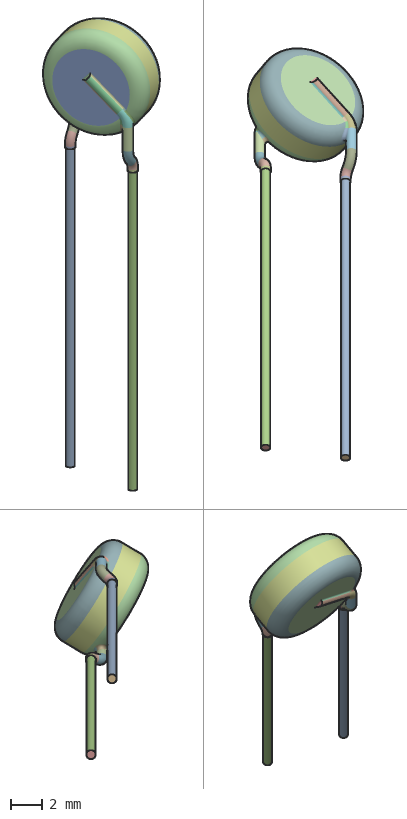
import cadquery as cq
import math

BODY_DIAMETER = 7.4
BODY_THICKNESS = 3.4
BODY_EDGE_RADIUS = 1.0
FLAT_FACE_RADIUS = BODY_DIAMETER / 2 - BODY_EDGE_RADIUS

COATED_DIAMETER = 0.7
BARE_DIAMETER = 0.6
COATING_END_RADIUS = 0.04
OVERALL_DEPTH = 3.8
OVERALL_HEIGHT = 32.4
LEAD_X = 2.5
COATED_Y = (OVERALL_DEPTH - COATED_DIAMETER) / 2
BARE_Y = 0.75

S_BEND_TOP = -4.0
COATING_END = -5.9
LEAD_END = BODY_DIAMETER / 2 - OVERALL_HEIGHT

OUTWARD_BEND_RADIUS = 1.35
INWARD_BEND_RADIUS = 0.85

TIP_X = -0.20
TIP_Z = 0.65
SLANT_ANGLE = math.radians(41)
SLANT_BEND_RADIUS = 1.35
JUNCTION_RADIUS = 0.18


def make_body():
    """Round disc with both rims rounded."""
    back_face = cq.Workplane("XZ", origin=(0, BODY_THICKNESS / 2, 0))
    disc = back_face.circle(BODY_DIAMETER / 2).extrude(BODY_THICKNESS)
    return disc.edges().fillet(BODY_EDGE_RADIUS)


def make_coated_lead():
    """Slanted run on the front face, vertical leg, then an S-bend back toward the mid-plane."""
    turn = math.pi / 2 - SLANT_ANGLE
    tangent_length = SLANT_BEND_RADIUS * math.tan(turn / 2)
    corner_z = TIP_Z - (LEAD_X - TIP_X) * math.tan(SLANT_ANGLE)
    slant_x = math.cos(SLANT_ANGLE)
    slant_z = -math.sin(SLANT_ANGLE)

    tip = cq.Vector(TIP_X, -COATED_Y, TIP_Z)
    bend_start = cq.Vector(
        LEAD_X - tangent_length * slant_x, -COATED_Y, corner_z - tangent_length * slant_z
    )
    bend_end = cq.Vector(LEAD_X, -COATED_Y, corner_z - tangent_length)

    s_bend_angle = math.acos(1 - (COATED_Y - BARE_Y) / (OUTWARD_BEND_RADIUS + INWARD_BEND_RADIUS))
    inward_shift = OUTWARD_BEND_RADIUS * (1 - math.cos(s_bend_angle))
    middle_z = S_BEND_TOP - OUTWARD_BEND_RADIUS * math.sin(s_bend_angle)
    bottom_z = middle_z - INWARD_BEND_RADIUS * math.sin(s_bend_angle)
    s_bend_top = cq.Vector(LEAD_X, -COATED_Y, S_BEND_TOP)
    s_bend_middle = cq.Vector(LEAD_X, -COATED_Y + inward_shift, middle_z)
    s_bend_bottom = cq.Vector(LEAD_X, -BARE_Y, bottom_z)
    coating_end = cq.Vector(LEAD_X, -BARE_Y, COATING_END)

    slant = cq.Vector(slant_x, 0, slant_z)
    down = cq.Vector(0, 0, -1)
    outward_arc = cq.Edge.makeTangentArc(s_bend_top, down, s_bend_middle)
    path = cq.Wire.assembleEdges(
        [
            cq.Edge.makeLine(tip, bend_start),
            cq.Edge.makeTangentArc(bend_start, slant, bend_end),
            cq.Edge.makeLine(bend_end, s_bend_top),
            outward_arc,
            cq.Edge.makeTangentArc(s_bend_middle, outward_arc.tangentAt(1), s_bend_bottom),
            cq.Edge.makeLine(s_bend_bottom, coating_end),
        ]
    )
    section = cq.Workplane(cq.Plane(origin=tip, xDir=(0, 1, 0), normal=slant))
    coated_lead = section.circle(COATED_DIAMETER / 2).sweep(cq.Workplane(path))
    return coated_lead.faces("<Z").edges().fillet(COATING_END_RADIUS)


def make_bare_lead():
    """Straight bare wire below the coating."""
    start = cq.Workplane("XY", origin=(LEAD_X, -BARE_Y, COATING_END))
    return start.circle(BARE_DIAMETER / 2).extrude(LEAD_END - COATING_END)


def add_front_lead(part):
    """Join a lead to the front face and round the corner where it meets the disc."""
    part = part.union(make_coated_lead()).union(make_bare_lead())
    joint_region = cq.selectors.BoxSelector(
        (-BODY_DIAMETER / 2, -OVERALL_DEPTH / 2, -FLAT_FACE_RADIUS),
        (BODY_DIAMETER / 2, -BODY_THICKNESS / 2 + BODY_EDGE_RADIUS, FLAT_FACE_RADIUS),
    )
    return part.edges(joint_region).edges("not %CIRCLE").fillet(JUNCTION_RADIUS)


def half_turn(part):
    """Turn the part about the Z axis so that its back becomes its front."""
    return part.rotate((0, 0, 0), (0, 0, 1), 180)


result = half_turn(add_front_lead(half_turn(add_front_lead(make_body()))))